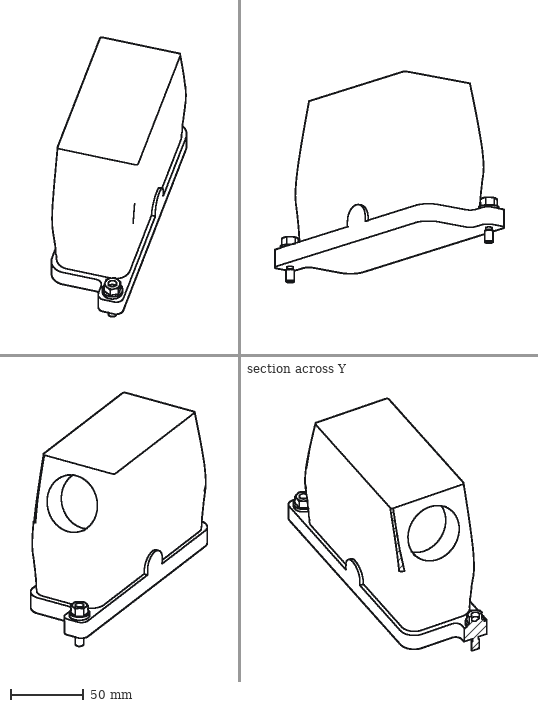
import cadquery as cq
import math

flange_width = 58.0
flange_length = 157.0
flange_thickness = 12.3
flange_corner_radius = 11.0
ear_tip_y = 95.5
ear_width = 18.0
ear_radius = 5.0

hood_top_z = 110.5
hood_length = 149.0
hood_top_length = 109.4
end_bend_z = 45.0
end_bend_radius = 21.0
hood_base_width = 52.4
side_arc_start_z = 49.7
side_arc_end_z = 63.5

corner_radius_base = 10.2
corner_radius_bend_start = 7.0
corner_radius_bend_end = 5.6
corner_radius_side_arc_end = 3.0
corner_radius_top = 1.6

entry_diameter = 40.0
entry_depth = 20.0
entry_center_z = 83.6

tab_width = 20.0
tab_arc_center_z = 16.0

screw_x = flange_width / 2 - ear_width / 2
screw_y = ear_tip_y - ear_width / 2
washer_diameter = 14.0
washer_thickness = 2.3
head_across_flats = 10.3
head_top_z = 20.5
head_bevel_height = 0.3
head_bevel_width = 0.7
socket_diameter = 5.8
socket_depth = 4.0
socket_cone_height = 1.7
neck_diameter = 4.6
neck_length = 1.7
thread_lead_in = 0.7
thread_diameter = 6.0
screw_tip_z = -10.5
tip_chamfer = 0.5

tolerance = 0.01

half_width = flange_width / 2
end_lean = math.atan2((hood_length - hood_top_length) / 2, hood_top_z - end_bend_z)


def make_flange():
    half_length = flange_length / 2
    ear_inner_x = half_width - ear_width
    outline = [
        (half_width, -ear_tip_y),
        (half_width, half_length),
        (-ear_inner_x, half_length),
        (-ear_inner_x, ear_tip_y),
        (-half_width, ear_tip_y),
        (-half_width, -half_length),
        (ear_inner_x, -half_length),
        (ear_inner_x, -ear_tip_y),
    ]
    plate = cq.Workplane("XY").polyline(outline).close().extrude(flange_thickness)
    rounded = plate.edges("|Z").filter(lambda edge: edge.Center().x * edge.Center().y < 0).fillet(ear_radius)
    return (
        rounded.edges("|Z")
        .filter(lambda edge: edge.Center().x * edge.Center().y > 0)
        .fillet(flange_corner_radius)
    )


def make_hood_blank():
    """Hood with sharp corners: its end profile crossed with its side profile."""
    base_y = hood_length / 2
    top_y = hood_top_length / 2
    long_profile = (
        cq.Workplane("YZ")
        .polyline([
            (-base_y, flange_thickness),
            (base_y, flange_thickness),
            (base_y, end_bend_z),
            (top_y, hood_top_z),
            (-top_y, hood_top_z),
            (-base_y, end_bend_z),
        ])
        .close()
        .extrude(half_width, both=True)
    )
    long_profile = (
        long_profile.edges("|X")
        .filter(lambda edge: abs(edge.Center().z - end_bend_z) < tolerance)
        .fillet(end_bend_radius)
    )

    base_x = hood_base_width / 2
    arc_height = side_arc_end_z - side_arc_start_z
    lean_height = side_arc_start_z - flange_thickness
    side_lean = (half_width - base_x) / (lean_height + arc_height / 2)
    arc_start_x = base_x + side_lean * lean_height
    cross_profile = (
        cq.Workplane("XZ")
        .moveTo(-base_x, flange_thickness)
        .lineTo(base_x, flange_thickness)
        .lineTo(arc_start_x, side_arc_start_z)
        .tangentArcPoint((half_width, side_arc_end_z), relative=False)
        .lineTo(half_width, hood_top_z)
        .lineTo(-half_width, hood_top_z)
        .lineTo(-half_width, side_arc_end_z)
        .tangentArcPoint((-arc_start_x, side_arc_start_z), relative=False)
        .close()
        .extrude(hood_length / 2, both=True)
    )
    return long_profile.intersect(cross_profile)


def make_hood():
    """Hood with corners whose rounding shrinks from the flange to the top."""
    blank = make_hood_blank().val()
    bend_tangent = end_bend_radius * math.tan(end_lean / 2)
    stations = [
        (flange_thickness, corner_radius_base),
        (end_bend_z - bend_tangent, corner_radius_bend_start),
        (end_bend_z + bend_tangent * math.cos(end_lean), corner_radius_bend_end),
        (side_arc_end_z, corner_radius_side_arc_end),
        (hood_top_z, corner_radius_top),
    ]
    rounding = cq.occ_impl.shapes.BRepFilletAPI_MakeFillet(blank.wrapped)
    for edge in blank.Edges():
        box = edge.BoundingBox()
        rises_from_flange = abs(box.zmin - flange_thickness) < tolerance and box.zlen > tolerance
        if rises_from_flange:
            rounding.Add(edge.wrapped)

    for chain in range(1, rounding.NbContours() + 1):
        for position in range(1, rounding.NbEdges(chain) + 1):
            for vertex in cq.Edge(rounding.Edge(chain, position)).Vertices():
                for station_z, radius in stations:
                    if abs(vertex.Z - station_z) < tolerance:
                        rounding.SetRadius(radius, chain, vertex.wrapped)
    return cq.Workplane(cq.Shape.cast(rounding.Shape()))


def make_entry():
    center_y = hood_length / 2 - (entry_center_z - end_bend_z) * math.tan(end_lean)
    outward = cq.Vector(0, math.cos(end_lean), math.sin(end_lean))
    floor_center = cq.Vector(0, center_y, entry_center_z) - outward * entry_depth
    return cq.Workplane(cq.Solid.makeCylinder(entry_diameter / 2, entry_depth, floor_center, outward))


def make_tabs():
    half_tab = tab_width / 2
    return (
        cq.Workplane("YZ")
        .moveTo(-half_tab, 0)
        .lineTo(half_tab, 0)
        .lineTo(half_tab, tab_arc_center_z)
        .threePointArc((0, tab_arc_center_z + half_tab), (-half_tab, tab_arc_center_z))
        .close()
        .extrude(half_width, both=True)
    )


def disc(diameter, bottom_z, top_z):
    return cq.Workplane("XY").workplane(offset=bottom_z).circle(diameter / 2).extrude(top_z - bottom_z)


def make_screw():
    washer_top_z = flange_thickness + washer_thickness
    head = (
        cq.Workplane("XY")
        .workplane(offset=washer_top_z)
        .polygon(6, head_across_flats, circumscribed=True)
        .extrude(head_top_z - washer_top_z)
    )
    head_across_corners = head_across_flats / math.cos(math.pi / 6)
    flat_top_radius = head_across_corners / 2 - head_bevel_width
    bevel_bottom_z = head_top_z - head_bevel_height
    bevel = cq.Solid.makeCone(
        head_across_corners / 2, flat_top_radius, head_bevel_height, cq.Vector(0, 0, bevel_bottom_z)
    )
    envelope = disc(head_across_corners, washer_top_z, bevel_bottom_z).union(cq.Workplane(bevel))
    head = head.intersect(envelope)
    socket_bottom_z = head_top_z - socket_depth
    socket_cone = cq.Solid.makeCone(
        0, socket_diameter / 2, socket_cone_height, cq.Vector(0, 0, socket_bottom_z - socket_cone_height)
    )
    neck_radius = neck_diameter / 2
    thread_radius = thread_diameter / 2
    shank = (
        cq.Workplane("XZ")
        .polyline([
            (0, 0),
            (neck_radius, 0),
            (neck_radius, -neck_length),
            (thread_radius, -neck_length - thread_lead_in),
            (thread_radius, screw_tip_z + tip_chamfer),
            (thread_radius - tip_chamfer, screw_tip_z),
            (0, screw_tip_z),
        ])
        .close()
        .revolve(360, (0, 0, 0), (0, 1, 0))
    )
    return (
        disc(washer_diameter, flange_thickness, washer_top_z)
        .union(head)
        .cut(disc(socket_diameter, socket_bottom_z, head_top_z))
        .cut(cq.Workplane(socket_cone))
        .union(shank)
    )


result = make_flange().union(make_hood()).union(make_tabs()).cut(make_entry())
for side in (-1, 1):
    screw = make_screw().translate((side * screw_x, -side * screw_y, 0))
    result = result.union(screw)